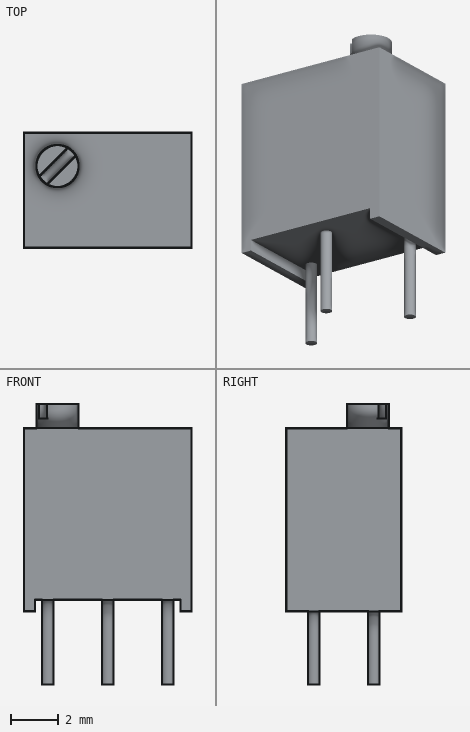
import cadquery as cq

total_height = 11.87
housing_length = 7.09
housing_width = 4.88
housing_height = 7.74

foot_thickness = 0.47
foot_height = 0.49

screw_diameter = 1.78
screw_height = 1.03
screw_x = -2.12
screw_y = 1.02
slot_width = 0.47
slot_depth = 0.63
slot_angle = 45

pin_diameter = 0.5
pin_pitch = 2.54
pin_row_offset = pin_pitch / 2

housing_top = total_height - screw_height
feet_bottom = housing_top - housing_height
underside = feet_bottom + foot_height


def make_housing():
    """Rectangular case with a recess between the feet, open at front and back."""
    case = cq.Workplane("XY").workplane(offset=feet_bottom).rect(housing_length, housing_width)
    case = case.extrude(housing_height)
    recess = cq.Workplane("XY").workplane(offset=feet_bottom)
    recess = recess.rect(housing_length - 2 * foot_thickness, housing_width).extrude(foot_height)
    return case.cut(recess)


def make_screw():
    """Round screw head standing on the housing, with a diagonal driver slot."""
    head = cq.Workplane("XY").circle(screw_diameter / 2).extrude(screw_height)
    slot = cq.Workplane("XY").workplane(offset=screw_height - slot_depth)
    slot = slot.rect(2 * screw_diameter, slot_width).extrude(slot_depth)
    slot = slot.rotate((0, 0, 0), (0, 0, 1), slot_angle)
    return head.cut(slot).translate((screw_x, screw_y, housing_top))


def make_pin(x, y):
    """Straight round pin hanging from the underside of the housing."""
    return cq.Workplane("XY").center(x, y).circle(pin_diameter / 2).extrude(underside)


housing = make_housing()
screw = make_screw()

pin_positions = [
    (-pin_pitch, -pin_row_offset),
    (0, pin_row_offset),
    (pin_pitch, -pin_row_offset),
]
pins = []
for x, y in pin_positions:
    pins.append(make_pin(x, y).val())

result = cq.Compound.makeCompound([housing.val(), screw.val(), *pins])